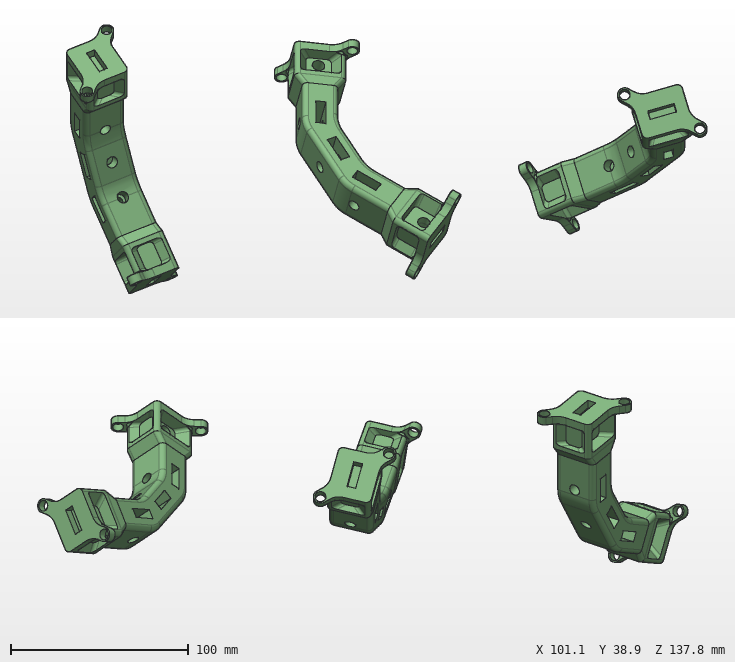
import cadquery as cq
import math

bend_angle = 30.0
end_to_bend = 56.2
bend_to_bend = 40.2
bend_radius = 20.0
depth = 25.3
arm_width = 20.4
middle_leg_width = 19.4
edge_radius = 3.0
slot_length = 15.4
slot_width = 5.8
cross_hole_diameter = 6.5
hole_to_bend = 7.0

box_width = 29.5
box_height = 22.9
taper_height = 6.2
flange_thickness = 5.1
flange_slot_width = 5.1
lug_offset = 2.8
lug_radius = 4.0
lug_hole_diameter = 6.0
lug_blend_radius = 10.0
post_flare = 1.1
head_clearance_radius = 5.1
pocket_height = 14.9
pocket_inset = 4.4
pocket_corner_radius = 2.0
front_pocket_depth = 7.6
side_pocket_depth = 4.0
bracket_hole_diameter = 7.0
bracket_hole_drop = 9.9

bracket_height = box_height + taper_height


def step(point, heading, distance):
    """Point reached in the XZ plane; heading is measured from straight down toward +X."""
    angle = math.radians(heading)
    return (point[0] + distance * math.sin(angle), point[1] - distance * math.cos(angle))


leg_headings = [0.0, bend_angle, 2 * bend_angle]
top_end = (0.0, 0.0)
first_bend = step(top_end, leg_headings[0], end_to_bend)
second_bend = step(first_bend, leg_headings[1], bend_to_bend)
bottom_end = step(second_bend, leg_headings[2], end_to_bend)
arm_start = step(top_end, leg_headings[0], bracket_height)
arm_end = step(bottom_end, leg_headings[2], -bracket_height)


def place(body, point, heading):
    """Move a body so its -Z axis follows the heading from the point in the XZ plane."""
    return body.rotate((0, 0, 0), (0, 1, 0), -heading).translate((point[0], 0, point[1]))


def arm_side(side):
    """Corner points of one long edge of the arm: side +1 is the inner edge, -1 the outer."""
    half = side * arm_width / 2
    middle_half = side * middle_leg_width / 2
    turn = math.radians(bend_angle)
    overrun = (half * math.cos(turn) - middle_half) / math.sin(turn)
    first, last = leg_headings[0], leg_headings[2]
    return [
        step(arm_start, first + 90, half),
        step(step(first_bend, first, overrun), first + 90, half),
        step(step(second_bend, last, -overrun), last + 90, half),
        step(arm_end, last + 90, half),
    ]


def is_at_arm_end(edge):
    centre = edge.Center()
    reach = arm_width / 2 + edge_radius
    return min(math.dist((centre.x, centre.z), end) for end in (arm_start, arm_end)) < reach


def inner_edges(shape, selector):
    """Selected edges of the arm, without those that bound its two end faces."""
    edges = shape.edges(selector).vals()
    return shape.newObject([edge for edge in edges if not is_at_arm_end(edge)])


def arm_cutters():
    """A slot along Y and a round hole across the arm, on the centre line of each leg."""
    centres = [
        step(first_bend, leg_headings[0], -hole_to_bend),
        step(first_bend, leg_headings[1], bend_to_bend / 2),
        step(second_bend, leg_headings[2], hole_to_bend),
    ]
    slot = cq.Workplane("XY").box(slot_width, depth, slot_length)
    hole = cq.Workplane("YZ").circle(cross_hole_diameter / 2).extrude(arm_width, both=True)
    for centre, heading in zip(centres, leg_headings):
        yield place(slot, centre, heading)
        yield place(hole, centre, heading)


def make_arm():
    outline = arm_side(-1) + arm_side(1)[::-1]
    arm = cq.Workplane("XZ").polyline(outline).close().extrude(depth / 2, both=True)
    arm = inner_edges(arm, "|Y").fillet(bend_radius)
    arm = inner_edges(arm, "#Y").fillet(edge_radius)
    for cutter in arm_cutters():
        arm = arm.cut(cutter)
    return arm


def rounded_section(width):
    return cq.Sketch().rect(width, depth).vertices().fillet(edge_radius)


def make_box():
    return cq.Workplane("XY").placeSketch(rounded_section(box_width)).extrude(-box_height)


def make_taper():
    return (
        cq.Workplane("XY")
        .workplane(offset=-box_height)
        .placeSketch(
            rounded_section(box_width),
            rounded_section(arm_width).moved(cq.Location(cq.Vector(0, 0, -taper_height))),
        )
        .loft()
    )


def lug_centres(lug_side):
    """Lugs stand off two opposite corners; lug_side is the sign of X for the one at +Y."""
    x = lug_side * (box_width / 2 + lug_offset)
    y = depth / 2 + lug_offset
    return [(x, y), (-x, -y)]


def make_flange(lug_side):
    flange = cq.Workplane("XY").placeSketch(rounded_section(box_width)).extrude(-flange_thickness)
    crossing = math.sqrt(2) * lug_radius
    neck_length = depth / 2
    blend_points = []
    for x, y in lug_centres(lug_side):
        sign_x = math.copysign(1, x)
        sign_y = math.copysign(1, y)
        inward = math.degrees(math.atan2(-sign_y, -sign_x))
        neck = (
            cq.Workplane("XY")
            .box(neck_length, 2 * lug_radius, flange_thickness, centered=(False, True, False))
            .rotate((0, 0, 0), (0, 0, 1), inward)
            .translate((x, y, -flange_thickness))
        )
        disc = cq.Workplane("XY").center(x, y).circle(lug_radius).extrude(-flange_thickness)
        flange = flange.union(neck).union(disc)
        corner_x = sign_x * box_width / 2
        corner_y = sign_y * depth / 2
        blend_points.append((corner_x - sign_x * crossing, corner_y))
        blend_points.append((corner_x, corner_y - sign_y * crossing))
    for x, y in blend_points:
        nearest = cq.selectors.NearestToPointSelector((x, y, -flange_thickness / 2))
        flange = flange.edges("|Z").edges(nearest).fillet(lug_blend_radius)
    return flange


def make_post_gussets(lug_side):
    """Cones where the two corner posts meet the lugs, cut back to clear a screw head."""
    gussets = cq.Workplane("XY")
    down = cq.Vector(0, 0, -1)
    for x, y in lug_centres(lug_side):
        post_x = math.copysign(box_width / 2 - edge_radius, x)
        post_y = math.copysign(depth / 2 - edge_radius, y)
        base = cq.Vector(post_x, post_y, -flange_thickness)
        cone = cq.Solid.makeCone(edge_radius + post_flare, edge_radius, post_flare, base, down)
        head_base = cq.Vector(x, y, -flange_thickness)
        head = cq.Solid.makeCylinder(head_clearance_radius, post_flare, head_base, down)
        gussets = gussets.add(cone.cut(head))
    return gussets


def make_pocket(opening, pocket_depth):
    """Pocket that opens at Y = 0 toward -Y, narrows toward +Y and hangs below the flange."""
    half = opening / 2
    back_half = half - pocket_inset
    return (
        cq.Workplane("XY")
        .polyline([(-half, 0), (half, 0), (back_half, pocket_depth), (-back_half, pocket_depth)])
        .close()
        .extrude(-pocket_height)
        .edges("not(|Z)")
        .edges("not(|X)")
        .fillet(pocket_corner_radius)
        .translate((0, 0, -flange_thickness))
    )


def bracket_cutters(lug_side):
    front_pocket = make_pocket(box_width - 2 * edge_radius, front_pocket_depth)
    side_pocket = make_pocket(depth - 2 * edge_radius, side_pocket_depth)
    for turn in (0, 180):
        yield front_pocket.translate((0, -depth / 2, 0)).rotate((0, 0, 0), (0, 0, 1), turn)
        yield side_pocket.translate((0, -box_width / 2, 0)).rotate((0, 0, 0), (0, 0, 1), turn + 90)
    yield (
        cq.Workplane("XZ")
        .center(0, -bracket_hole_drop)
        .circle(bracket_hole_diameter / 2)
        .extrude(depth, both=True)
    )
    yield cq.Workplane("XY").rect(slot_length, flange_slot_width).extrude(-flange_thickness)
    yield (
        cq.Workplane("XY")
        .pushPoints(lug_centres(lug_side))
        .circle(lug_hole_diameter / 2)
        .extrude(-flange_thickness)
    )


def make_bracket(lug_side):
    """Bracket with its flange face on Z = 0 and its taper pointing down."""
    bracket = make_box().union(make_flange(lug_side))
    for gusset in make_post_gussets(lug_side).vals():
        bracket = bracket.union(cq.Workplane(gusset))
    for cutter in bracket_cutters(lug_side):
        bracket = bracket.cut(cutter)
    return bracket.union(make_taper(), clean=False)


arm = make_arm()
top_bracket = place(make_bracket(-1), top_end, leg_headings[0])
bottom_bracket = place(make_bracket(1), bottom_end, leg_headings[2] + 180)

result = cq.Compound.makeCompound([top_bracket.val(), arm.val(), bottom_bracket.val()])